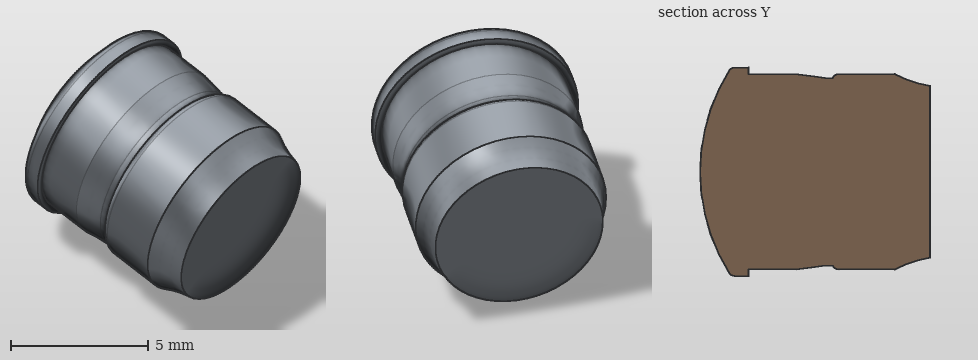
import cadquery as cq
import math


total_length = 8.382
flange_front_x = 1.27
flange_back_x = 1.77
taper_start_x = 3.50
groove_start_x = 4.56
shoulder_x = 4.83
nose_start_x = 7.10

flange_radius = 7.62 / 2
body_radius = 7.14 / 2
groove_radius = 6.86 / 2
tip_radius = 6.28 / 2
edge_rounding = 0.25
nose_curve_radius = 4.2


def polar(center, radius, angle):
    """Point at a given angle and distance from a centre."""
    return (center[0] + radius * math.cos(angle), center[1] + radius * math.sin(angle))


def arc_between_angles(sketch, center, radius, start_angle, end_angle):
    """Continue the outline with an arc around a centre."""
    middle = polar(center, radius, (start_angle + end_angle) / 2)
    return sketch.threePointArc(middle, polar(center, radius, end_angle))


def add_dome_and_rim(sketch):
    """Spherical dome through the apex, tangent to the rim rounding."""
    rim_center = (flange_front_x, flange_radius - edge_rounding)
    dome_radius = (rim_center[0] ** 2 + rim_center[1] ** 2 - edge_rounding ** 2) / (
        2 * (rim_center[0] - edge_rounding)
    )
    dome_center = (dome_radius, 0)
    tangent_angle = math.atan2(rim_center[1], rim_center[0] - dome_radius)
    sketch = arc_between_angles(sketch, dome_center, dome_radius, math.pi, tangent_angle)
    return arc_between_angles(sketch, rim_center, edge_rounding, tangent_angle, math.pi / 2)


def add_grooved_body(sketch):
    """Flange back, body, taper into the groove and the rounded shoulder after it."""
    shoulder_center_radius = body_radius - edge_rounding
    shoulder_angle = math.pi - math.asin((groove_radius - shoulder_center_radius) / edge_rounding)
    shoulder_center = (
        shoulder_x - edge_rounding * math.cos(shoulder_angle),
        shoulder_center_radius,
    )
    sketch = (
        sketch.lineTo(flange_back_x, flange_radius)
        .lineTo(flange_back_x, body_radius)
        .lineTo(taper_start_x, body_radius)
        .lineTo(groove_start_x, groove_radius)
        .lineTo(shoulder_x, groove_radius)
    )
    return arc_between_angles(sketch, shoulder_center, edge_rounding, shoulder_angle, math.pi / 2)


def add_nose(sketch):
    """Concave nose narrowing to the flat tip."""
    nose_length = total_length - nose_start_x
    nose_drop = body_radius - tip_radius
    chord = math.hypot(nose_length, nose_drop)
    sag = nose_curve_radius - math.sqrt(nose_curve_radius ** 2 - (chord / 2) ** 2)
    middle = (
        (nose_start_x + total_length) / 2 - sag * nose_drop / chord,
        (body_radius + tip_radius) / 2 - sag * nose_length / chord,
    )
    sketch = sketch.lineTo(nose_start_x, body_radius)
    return sketch.threePointArc(middle, (total_length, tip_radius))


def make_plug():
    """Revolve the half outline, drawn from the apex to the tip, about the X axis."""
    outline = cq.Workplane("XY").moveTo(0, 0)
    outline = add_dome_and_rim(outline)
    outline = add_grooved_body(outline)
    outline = add_nose(outline)
    outline = outline.lineTo(total_length, 0).close()
    return outline.revolve(360, (0, 0, 0), (1, 0, 0))


result = make_plug()